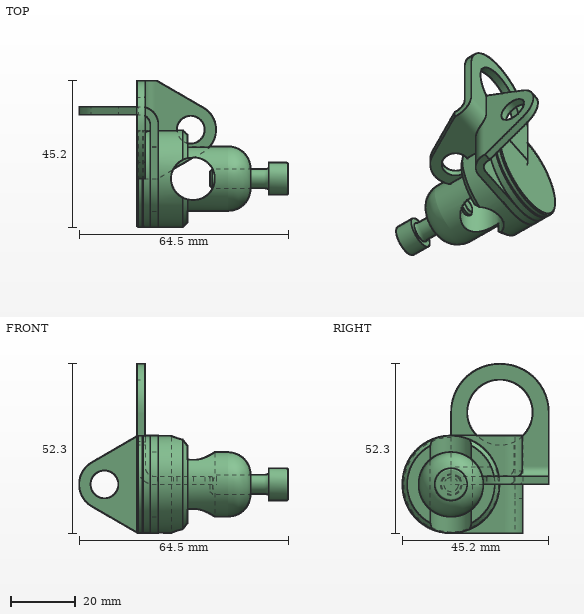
import cadquery as cq
import math


plate_thickness = 2.5
bracket_half_width = 15.1
ring_corner_radius = 15.0
ring_hole_diameter = 20.1
bend_inner_radius = 3.0
bend_outer_radius = bend_inner_radius + plate_thickness
ring_height = 22.2
ear_hole_distance = 16.6
ear_hole_diameter = 8.5
ear_tip_radius = 7.85
ear_taper_start = 6.2

flange_diameter = 30.0
cap_thickness = 2.0
cap_chamfer = 0.4
clamp_start = 4.1
clamp_end = clamp_start + plate_thickness
flange_end = 15.6
flange_chamfer = 1.5
neck_diameter = 20.0
housing_length = 35.1
nose_radius = 7.0
cross_hole_diameter = 13.0
cross_hole_length = 13.5
cross_hole_center_x = 17.3

screw_diameter = 6.0
screw_tip_x = 22.5
screw_tip_chamfer = 0.8
head_diameter = 10.0
head_start = 40.6
head_end = 46.62
head_fillet = 0.6
neck_flare_length = 1.3
neck_flare_rise = 0.3


def make_bracket():
    """Ring plate on X = 0..thickness and ear on Z = 0..thickness, symmetric about Y = 0."""
    width = 2 * bracket_half_width
    ear_end = ear_hole_distance + ear_tip_radius
    ring_top = ring_height + ring_corner_radius
    bend_mid_outer = bend_outer_radius * (1 - math.sqrt(0.5))
    bend_mid_inner = bend_outer_radius - bend_inner_radius * math.sqrt(0.5)
    strip = (
        cq.Workplane("XZ")
        .moveTo(0, ring_top)
        .lineTo(0, bend_outer_radius)
        .threePointArc((bend_mid_outer, bend_mid_outer), (bend_outer_radius, 0))
        .lineTo(ear_end, 0)
        .lineTo(ear_end, plate_thickness)
        .lineTo(bend_outer_radius, plate_thickness)
        .threePointArc((bend_mid_inner, bend_mid_inner), (plate_thickness, bend_outer_radius))
        .lineTo(plate_thickness, ring_top)
        .close()
        .extrude(bracket_half_width, both=True)
    )

    ring_outline = (
        cq.Workplane("XY")
        .box(ear_end, width, ring_top, centered=(False, True, False))
        .edges("|X and >Z")
        .fillet(ring_corner_radius)
    )

    run = ear_hole_distance - ear_taper_start
    corner_distance = math.hypot(run, bracket_half_width)
    tangent_angle = math.atan2(bracket_half_width, -run) - math.acos(ear_tip_radius / corner_distance)
    tangent_x = ear_hole_distance + ear_tip_radius * math.cos(tangent_angle)
    tangent_y = ear_tip_radius * math.sin(tangent_angle)
    ear_outline = (
        cq.Workplane("XY")
        .moveTo(0, -bracket_half_width)
        .lineTo(ear_taper_start, -bracket_half_width)
        .lineTo(tangent_x, -tangent_y)
        .threePointArc((ear_end, 0), (tangent_x, tangent_y))
        .lineTo(ear_taper_start, bracket_half_width)
        .lineTo(0, bracket_half_width)
        .close()
        .extrude(ring_top)
    )

    ring_hole = (
        cq.Workplane("YZ")
        .center(0, ring_height)
        .circle(ring_hole_diameter / 2)
        .extrude(plate_thickness)
    )
    ear_hole = (
        cq.Workplane("XY")
        .center(ear_hole_distance, 0)
        .circle(ear_hole_diameter / 2)
        .extrude(plate_thickness)
    )
    return strip.intersect(ring_outline).intersect(ear_outline).cut(ring_hole).cut(ear_hole)


def make_housing():
    """Turned body with a slot for the clamped bracket, a cross hole and a screw hole."""
    flange_radius = flange_diameter / 2
    neck_radius = neck_diameter / 2
    nose_start = housing_length - nose_radius
    nose_mid_x = nose_start + nose_radius * math.sqrt(0.5)
    nose_mid_radius = neck_radius - nose_radius * (1 - math.sqrt(0.5))
    body = (
        cq.Workplane("XY")
        .lineTo(0, flange_radius - cap_chamfer)
        .lineTo(cap_chamfer, flange_radius)
        .lineTo(cap_thickness - cap_chamfer, flange_radius)
        .lineTo(cap_thickness, flange_radius - cap_chamfer)
        .lineTo(cap_thickness, flange_radius)
        .lineTo(clamp_start, flange_radius)
        .lineTo(clamp_start, neck_radius)
        .lineTo(clamp_end, neck_radius)
        .lineTo(clamp_end, flange_radius)
        .lineTo(flange_end - flange_chamfer, flange_radius)
        .lineTo(flange_end, flange_radius - flange_chamfer)
        .lineTo(flange_end, neck_radius)
        .lineTo(nose_start, neck_radius)
        .threePointArc((nose_mid_x, nose_mid_radius), (housing_length, neck_radius - nose_radius))
        .lineTo(housing_length, 0)
        .close()
        .revolve(360, (0, 0, 0), (1, 0, 0))
    )
    cross_hole = (
        cq.Workplane("XY")
        .center(cross_hole_center_x, 0)
        .slot2D(cross_hole_length, cross_hole_diameter)
        .extrude(flange_diameter, both=True)
    )
    screw_hole = (
        cq.Workplane("YZ", origin=(cross_hole_center_x, 0, 0))
        .circle(screw_diameter / 2)
        .extrude(housing_length - cross_hole_center_x)
    )
    return body.cut(cross_hole).cut(screw_hole)


def make_screw():
    """Cap screw along X with a chamfered tip and a flared neck under its head."""
    shank_radius = screw_diameter / 2
    head_radius = head_diameter / 2
    flare_start = head_start - neck_flare_length
    return (
        cq.Workplane("XY")
        .moveTo(screw_tip_x, 0)
        .lineTo(screw_tip_x, shank_radius - screw_tip_chamfer)
        .lineTo(screw_tip_x + screw_tip_chamfer, shank_radius)
        .lineTo(flare_start, shank_radius)
        .tangentArcPoint((head_start, shank_radius + neck_flare_rise), relative=False)
        .lineTo(head_start, head_radius)
        .lineTo(head_end, head_radius)
        .lineTo(head_end, 0)
        .close()
        .revolve(360, (0, 0, 0), (1, 0, 0))
        .faces(">X")
        .edges()
        .fillet(head_fillet)
    )


loose_bracket = make_bracket().translate((0, bracket_half_width, 0))

clamped_bracket = (
    make_bracket()
    .rotate((0, 0, 0), (1, 0, 0), -90)
    .rotate((0, 0, 0), (0, 0, 1), 180)
    .translate((clamp_end, ring_height, 0))
)

clamped_bracket = clamped_bracket.cut(loose_bracket)
housing = make_housing().cut(loose_bracket)
screw = make_screw()

result = cq.Compound.makeCompound(
    [housing.val(), clamped_bracket.val(), loose_bracket.val(), screw.val()]
)